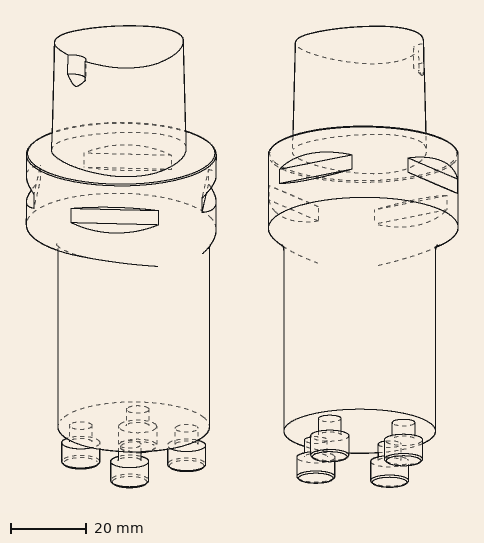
import cadquery as cq
import math

TOTAL_HEIGHT = 115.5
CUT_MARGIN = 1.2
FIRST_ANGLE = 45

FLANGE_RADIUS = 50.0 / 2
FLANGE_CHAMFER = 0.3

GROOVE_COUNT = 4
GROOVE_Z = -9.9
GROOVE_FLOOR_DISTANCE = 22.2
GROOVE_FLOOR_WIDTH = 3.9
GROOVE_FLANK_RUN = 1.6

SHANK_HEIGHT = 30.0
SHANK_TAPER = math.degrees(math.atan(1 / 40))
LOBE_RADIUS = 11.1
LOBE_CENTRE = 6.9
FLAT_DISTANCE = 15.7

NOTCH_RADIUS = 4.0
NOTCH_Y = -17.6
NOTCH_DEPTH = 5.3

BODY_RADIUS = 40.0 / 2
BODY_X = FLANGE_RADIUS - BODY_RADIUS
BODY_BOTTOM = -75.0
NECK_BOTTOM = -25.1
NECK_FILLET = 4.3
NECK_SLOPE = math.radians(10)

SCREW_COUNT = 4
SCREW_CIRCLE_RADIUS = 14.0
SCREW_SHANK_RADIUS = 6.0 / 2
SCREW_HEAD_RADIUS = 10.0 / 2
SCREW_HEAD_TOP = -79.7
SCREW_BOTTOM = SHANK_HEIGHT - TOTAL_HEIGHT
SCREW_CHAMFER = 0.5
SCREW_FILLET = 0.3


def polar(radius, degrees):
    angle = math.radians(degrees)
    return (radius * math.cos(angle), radius * math.sin(angle))


def make_shank():
    flat_centre = (LOBE_CENTRE**2 - (FLAT_DISTANCE - LOBE_RADIUS)**2) / (
        2 * (FLAT_DISTANCE - LOBE_RADIUS) - LOBE_CENTRE
    )
    flat_radius = FLAT_DISTANCE + flat_centre
    half_span = math.atan2(
        LOBE_CENTRE * math.sin(math.pi / 3),
        flat_centre + LOBE_CENTRE * math.cos(math.pi / 3),
    )
    joint_across = flat_radius * math.sin(half_span)
    joint_out = flat_radius * math.cos(half_span) - flat_centre
    joint_radius = math.hypot(joint_across, joint_out)
    joint_angle = math.degrees(math.atan2(joint_across, joint_out))

    outline = cq.Workplane("XY").moveTo(*polar(joint_radius, -90 - joint_angle))
    for flat_angle in (-90, 30, 150):
        outline = outline.threePointArc(
            polar(FLAT_DISTANCE, flat_angle),
            polar(joint_radius, flat_angle + joint_angle),
        ).threePointArc(
            polar(LOBE_CENTRE + LOBE_RADIUS, flat_angle + 60),
            polar(joint_radius, flat_angle + 120 - joint_angle),
        )
    tapered = outline.close().extrude(SHANK_HEIGHT, taper=-SHANK_TAPER)
    return tapered.mirror("XY").translate((0, 0, SHANK_HEIGHT))


def make_notch():
    floor = SHANK_HEIGHT - NOTCH_DEPTH
    profile = [
        (0, SHANK_HEIGHT),
        (NOTCH_RADIUS, SHANK_HEIGHT),
        (NOTCH_RADIUS, floor),
        (0, floor - NOTCH_RADIUS),
    ]
    drill = cq.Workplane("XZ").polyline(profile).close().revolve(360, (0, 0), (0, 1))
    return drill.translate((0, NOTCH_Y, 0))


def make_neck_envelope():
    cone_reach = BODY_X + FLANGE_RADIUS + CUT_MARGIN
    fillet_x = BODY_RADIUS + NECK_FILLET
    tangent_x = fillet_x - NECK_FILLET * math.sin(NECK_SLOPE)
    tangent_z = NECK_BOTTOM + NECK_FILLET * math.cos(NECK_SLOPE)
    middle = math.radians(135) + NECK_SLOPE / 2
    middle_point = (
        fillet_x + NECK_FILLET * math.cos(middle),
        NECK_BOTTOM + NECK_FILLET * math.sin(middle),
    )
    cone_edge_z = tangent_z + (cone_reach - tangent_x) * math.tan(NECK_SLOPE)
    profile = (
        cq.Workplane("XZ")
        .moveTo(0, BODY_BOTTOM)
        .lineTo(BODY_RADIUS, BODY_BOTTOM)
        .lineTo(BODY_RADIUS, NECK_BOTTOM)
        .threePointArc(middle_point, (tangent_x, tangent_z))
        .lineTo(cone_reach, cone_edge_z)
        .lineTo(cone_reach, 0)
        .lineTo(0, 0)
        .close()
    )
    return profile.revolve(360, (0, 0), (0, 1)).translate((BODY_X, 0, 0))


def make_flange_and_body():
    blank = (
        cq.Workplane("XY")
        .circle(FLANGE_RADIUS)
        .extrude(BODY_BOTTOM)
        .faces(">Z")
        .chamfer(FLANGE_CHAMFER)
    )
    return blank.intersect(make_neck_envelope())


def make_groove(angle):
    flank_slope = GROOVE_FLANK_RUN / (FLANGE_RADIUS - GROOVE_FLOOR_DISTANCE)
    outer = FLANGE_RADIUS + CUT_MARGIN
    half_floor = GROOVE_FLOOR_WIDTH / 2
    half_mouth = half_floor + flank_slope * (outer - GROOVE_FLOOR_DISTANCE)
    profile = [
        (GROOVE_FLOOR_DISTANCE, GROOVE_Z - half_floor),
        (GROOVE_FLOOR_DISTANCE, GROOVE_Z + half_floor),
        (outer, GROOVE_Z + half_mouth),
        (outer, GROOVE_Z - half_mouth),
    ]
    groove = cq.Workplane("XZ").polyline(profile).close().extrude(FLANGE_RADIUS, both=True)
    return groove.rotate((0, 0, 0), (0, 0, 1), angle)


def make_screw(angle):
    stem = (
        cq.Workplane("XY")
        .workplane(offset=BODY_BOTTOM)
        .circle(SCREW_SHANK_RADIUS)
        .extrude(SCREW_HEAD_TOP - BODY_BOTTOM)
    )
    head = (
        cq.Workplane("XY")
        .workplane(offset=SCREW_HEAD_TOP)
        .circle(SCREW_HEAD_RADIUS)
        .extrude(SCREW_BOTTOM - SCREW_HEAD_TOP)
        .faces("<Z")
        .chamfer(SCREW_CHAMFER)
    )
    x, y = polar(SCREW_CIRCLE_RADIUS, angle)
    screw = stem.union(head)
    shank_rims = screw.edges("%CIRCLE").edges(cq.selectors.RadiusNthSelector(0))
    screw = shank_rims.edges("<Z").fillet(SCREW_FILLET)
    return screw.translate((BODY_X + x, y, 0))


result = make_flange_and_body().union(make_shank()).cut(make_notch())

for index in range(GROOVE_COUNT):
    result = result.cut(make_groove(FIRST_ANGLE + index * 360 / GROOVE_COUNT))

for index in range(SCREW_COUNT):
    result = result.union(make_screw(FIRST_ANGLE + index * 360 / SCREW_COUNT))